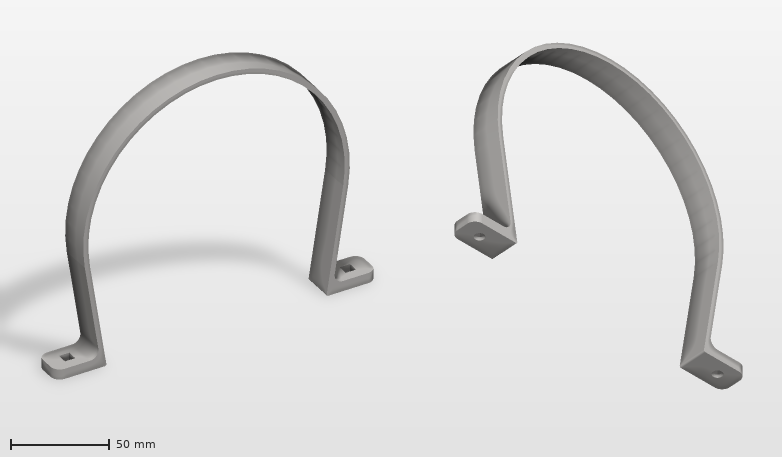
import cadquery as cq
import math

width = 18.0
length = 190.0
height = 153.9
strap_thickness = 3.0
outer_radius = 78.8
leg_angle = math.radians(8.9)
foot_thickness = 6.0
corner_radius = 5.3
leg_fillet = 5.0
heel_radius = 1.0
square_side = 6.0
square_depth = 4.0
hole_diameter = 6.0
hole_to_tip = 12.0

inner_radius = outer_radius - strap_thickness
arc_height = height - outer_radius
hole_y = length / 2 - hole_to_tip


def tangent_point(radius, side):
    """Point where an arc of the strap runs into a straight leg."""
    return side * radius * math.cos(leg_angle), arc_height - radius * math.sin(leg_angle)


def leg_point(radius, side, z):
    """Point at height z on the leg line tangent to the given arc."""
    y = (radius + (z - arc_height) * math.sin(leg_angle)) / math.cos(leg_angle)
    return side * y, z


def make_strap():
    """Bent strap with both legs, open between the feet."""
    return (
        cq.Workplane("YZ")
        .moveTo(*leg_point(outer_radius, -1, 0))
        .lineTo(*tangent_point(outer_radius, -1))
        .threePointArc((0, height), tangent_point(outer_radius, 1))
        .lineTo(*leg_point(outer_radius, 1, 0))
        .lineTo(*leg_point(inner_radius, 1, 0))
        .lineTo(*tangent_point(inner_radius, 1))
        .threePointArc((0, arc_height + inner_radius), tangent_point(inner_radius, -1))
        .lineTo(*leg_point(inner_radius, -1, 0))
        .close()
        .extrude(width / 2, both=True)
    )


def make_foot(side):
    """Flat mounting foot, rounded at its free end."""
    foot = (
        cq.Workplane("YZ")
        .polyline([
            leg_point(inner_radius, side, 0),
            (side * length / 2, 0),
            (side * length / 2, foot_thickness),
            leg_point(inner_radius, side, foot_thickness),
        ])
        .close()
        .extrude(width / 2, both=True)
    )
    tip = ">Y" if side > 0 else "<Y"
    return foot.faces(tip).edges("|Z").fillet(corner_radius)


def edge_at(point):
    """Selector for the crosswise edge centred on a (y, z) point."""
    return cq.selectors.NearestToPointSelector((0, *point))


def cut_bolt_hole(body, side):
    """Round through hole with a square bolt-head recess on top."""
    round_hole = (
        cq.Workplane("XY")
        .center(0, side * hole_y)
        .circle(hole_diameter / 2)
        .extrude(foot_thickness)
    )
    square_recess = (
        cq.Workplane("XY", origin=(0, side * hole_y, foot_thickness - square_depth))
        .rect(square_side, square_side)
        .extrude(square_depth)
    )
    return body.cut(round_hole).cut(square_recess)


result = make_strap()
for side in (-1, 1):
    result = result.union(make_foot(side))
for side in (-1, 1):
    result = result.edges(edge_at(leg_point(outer_radius, side, foot_thickness))).fillet(leg_fillet)
    result = result.edges(edge_at(leg_point(inner_radius, side, 0))).fillet(heel_radius)
    result = cut_bolt_hole(result, side)